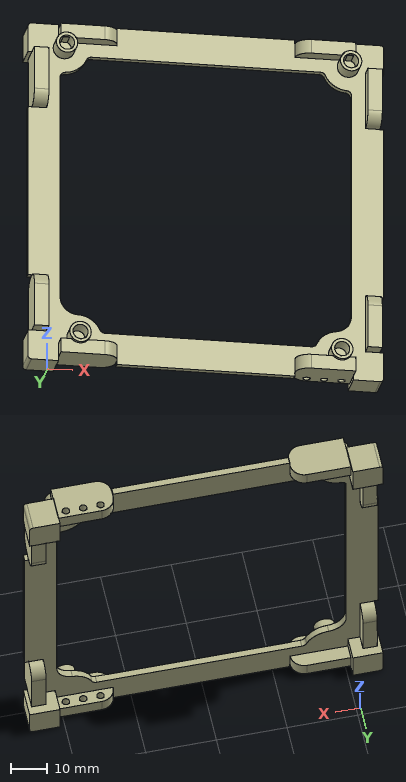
import cadquery as cq
import math

frame_size = 100.0
plate_thickness = 2.0
bar_width = 9.1

corner_block_size = 8.6
corner_block_depth = 8.5
corner_radius = 1.0

bracket_inset = 1.1
bracket_thickness = 4.1
bracket_overhang = 4.0
bracket_end = 25.0
bracket_end_radius = 4.0

pin_hole_diameter = 2.0
pin_hole_count = 3
pin_hole_spacing = 4.9
pin_hole_middle_x = 33.9

boss_height = 5.0
boss_diameter = 6.0
boss_bore_diameter = 4.2
boss_pad_radius = 7.0
upper_boss_x = 39.9
lower_left_boss_x = -36.1
lower_right_boss_x = 37.4
boss_z = 42.9
small_pad_fillet = 1.5
large_pad_fillet = 5.0

half_size = frame_size / 2
half_opening = half_size - bar_width
bracket_back = plate_thickness + bracket_overhang
bracket_middle = half_size - bracket_inset - bracket_thickness / 2

bosses = [
    (-upper_boss_x, boss_z, small_pad_fillet),
    (upper_boss_x, boss_z, small_pad_fillet),
    (lower_left_boss_x, -boss_z, large_pad_fillet),
    (lower_right_boss_x, -boss_z, large_pad_fillet),
]


def block(x_range, y_range, z_range):
    """Box spanning the given (start, end) ranges."""
    ranges = (x_range, y_range, z_range)
    sizes = [end - start for start, end in ranges]
    start_point = tuple(start for start, end in ranges)
    return cq.Workplane("XY").box(*sizes, centered=False).translate(start_point)


def rod(x, z, diameter, y_start, y_end):
    """Cylinder along Y."""
    return cq.Workplane("XZ", origin=(x, y_start, z)).circle(diameter / 2).extrude(y_start - y_end)


def on_four_sides(solid):
    """Copies of a solid turned about the Y axis onto each side of the frame."""
    return [solid.rotate((0, 0, 0), (0, 1, 0), quarter * 90) for quarter in range(4)]


def make_plate():
    """Square frame with a rounded pad behind each boss, blended into the bars."""
    opening = (-half_opening, half_opening)
    plate = block((-half_size, half_size), (0, plate_thickness), (-half_size, half_size))
    plate = plate.cut(block(opening, (0, plate_thickness), opening))
    for x, z, upright_fillet in bosses:
        plate = plate.union(rod(x, z, 2 * boss_pad_radius, 0, plate_thickness))
    for x, z, upright_fillet in bosses:
        side_x = math.copysign(1, x)
        side_z = math.copysign(1, z)
        pad_half_width = math.sqrt(boss_pad_radius**2 - (half_opening - abs(z)) ** 2)
        pad_half_height = math.sqrt(boss_pad_radius**2 - (half_opening - abs(x)) ** 2)
        bar_joint = (x - side_x * pad_half_width, plate_thickness / 2, side_z * half_opening)
        upright_joint = (side_x * half_opening, plate_thickness / 2, z - side_z * pad_half_height)
        plate = plate.edges(cq.NearestToPointSelector(bar_joint)).fillet(small_pad_fillet)
        plate = plate.edges(cq.NearestToPointSelector(upright_joint)).fillet(upright_fillet)
    return plate


def make_side_notch():
    """Recess in the plate edge outside one bracket, at the right end of the upper side."""
    return block(
        (half_size - bracket_end, half_size - corner_block_size),
        (0, plate_thickness),
        (half_size - bracket_inset, half_size),
    )


def make_bracket():
    """Bracket at the right end of the upper side, with its inner end rounded."""
    bracket = block(
        (half_size - bracket_end, half_size - corner_block_size),
        (-bracket_overhang, bracket_back),
        (bracket_middle - bracket_thickness / 2, bracket_middle + bracket_thickness / 2),
    )
    return bracket.edges("|Z and <X").fillet(bracket_end_radius)


def make_corner_block():
    """Block behind the upper right corner of the frame."""
    corner = (half_size - corner_block_size, half_size)
    return block(corner, (0, corner_block_depth), corner)


def make_pin_holes():
    """Row of three pin holes along Z through both right-hand brackets, behind the plate."""
    return (
        cq.Workplane("XY", origin=(pin_hole_middle_x, plate_thickness + bracket_overhang / 2, -half_size))
        .rarray(pin_hole_spacing, 1, pin_hole_count, 1)
        .circle(pin_hole_diameter / 2)
        .extrude(frame_size)
    )


def round_outer_corners(solid):
    """Round the four outer edges of the corner blocks."""
    for x_sign in (-1, 1):
        for z_sign in (-1, 1):
            outer_edge = (x_sign * half_size, corner_block_depth / 2, z_sign * half_size)
            solid = solid.edges(cq.NearestToPointSelector(outer_edge)).fillet(corner_radius)
    return solid


def make_boss(x, z):
    """Tube in front of the plate, with its bore stopping at the plate."""
    tube = rod(x, z, boss_diameter, -boss_height, 0)
    return tube.cut(rod(x, z, boss_bore_diameter, -boss_height, 0))


def at_both_ends(solid):
    """Copies of a solid at both ends of all four sides of the frame."""
    return on_four_sides(solid) + on_four_sides(solid.mirror("YZ"))


result = make_plate()
for corner_block in on_four_sides(make_corner_block()):
    result = result.union(corner_block)
for notch in at_both_ends(make_side_notch()):
    result = result.cut(notch)
result = round_outer_corners(result)

for x, z, upright_fillet in bosses:
    result = result.union(make_boss(x, z))
for bracket in at_both_ends(make_bracket()):
    result = result.union(bracket)

result = result.cut(make_pin_holes())